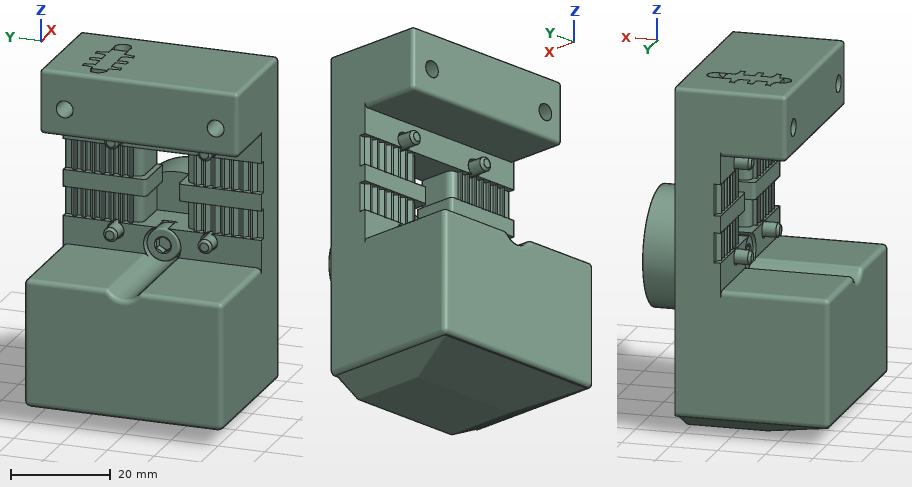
import cadquery as cq
import math

width = 42.4
half_width = width / 2
total_height = 72.45
base_z = 3.5
lower_top_z = 30.6
upper_bottom_z = 58.8
lower_depth = 32.25
upper_depth = 23.25
web_depth = 9.6
lower_fillet = 1.05
upper_fillet = 0.85
web_overlap = 4.0

chin_fillet = 0.8
chin_front_inset = 0.6
chin_side_inset = 1.0
chin_flat_depth = 17.3
chin_flat_y_min = -12.6
chin_flat_y_max = 13.9

window_top_z = 53.0
window_bottom_z = 36.55
window_half_width = 4.7
window_fillet = 1.5
divider_top_z = 46.4
divider_bottom_z = 42.8
divider_half_gap = 3.47
divider_fillet = 0.75
tooth_pitch = 2.0
tooth_count = 7
tooth_start_y = 19.9
tooth_ramp = 0.8
tooth_land = 0.45
tooth_tip_depth = 9.1
tooth_root_depth = 8.2

clamp_screw_diameter = 3.0
clamp_hole_diameter = 3.6
clamp_screw_tip_diameter = 1.89
clamp_screw_tip_chamfer = (clamp_screw_diameter - clamp_screw_tip_diameter) / 2
clamp_low_z = 34.85
clamp_high_z = 54.65
clamp_hole_half_spacing = 10.0
clamp_screw_places = (
    (9.78, clamp_high_z),
    (10.0, clamp_low_z),
    (-10.2, clamp_high_z),
    (-10.2, clamp_low_z),
)
clamp_protrusion = 3.35
clamp_hole_depth = 6.0

mount_hole_diameter = 3.6
mount_hole_z = 64.6
mount_hole_ys = (15.85, -16.45)

knob_diameter = 25.0
overall_depth = 41.55
knob_length = overall_depth - lower_depth
axis_z = 32.75
head_diameter = 7.0
head_height = 4.0
head_fillet = 0.4
head_recess_diameter = 8.0
head_recess_depth = 4.4
shank_diameter = 4.0
shank_reach = 6.0
socket_across_flats = 3.0
socket_depth = 2.0
socket_rim_diameter = 3.6
socket_rim_depth = 0.3

channel_diameter = 3.4
channel_radius = 7.05
channel_x = -12.3
channel_y = 10.0
insert_thickness = 2.0
insert_x_min = -19.1
insert_x_max = -7.2
fin_x = -13.6
fin_spacing = 3.77
fin_reach = 4.0
fin_flare = 3.1
outer_fin_tip = 1.0
outer_fin_root = 1.75
middle_fin_width = 1.3
middle_fin_fillet = 0.4


def block(x_min, x_max, y_min, y_max, z_min, z_max):
    """Box given by its limits."""
    size = (x_max - x_min, y_max - y_min, z_max - z_min)
    return cq.Workplane("XY").box(*size, centered=False).translate((x_min, y_min, z_min))


def rod(diameter, x_min, x_max, y, z):
    """Cylinder along X."""
    plane = cq.Workplane("YZ", origin=(x_min, y, z))
    return plane.circle(diameter / 2).extrude(x_max - x_min)


def make_lower_block():
    """Lower block with the screwdriver groove along its top; all but the back edges are rounded."""
    lower = block(-lower_depth, 0, -half_width, half_width, base_z, lower_top_z)
    groove = rod(head_recess_diameter, -lower_depth, 0, 0, axis_z)
    return lower.cut(groove).edges("not >X").fillet(lower_fillet)


def make_upper_block():
    upper = block(-upper_depth, 0, -half_width, half_width, upper_bottom_z, total_height)
    return upper.edges("not >X").fillet(upper_fillet)


def make_chin():
    """Sloped foot under the lower block, vertical at the back, with rounded edges."""
    root_half_width = half_width - chin_side_inset
    root_length = lower_depth - chin_front_inset
    flat_width = chin_flat_y_max - chin_flat_y_min
    flat_center_y = (chin_flat_y_max + chin_flat_y_min) / 2
    chin = (
        cq.Workplane("XY", origin=(0, 0, base_z))
        .moveTo(-root_length / 2, 0)
        .rect(root_length, 2 * root_half_width)
        .workplane(offset=-base_z)
        .moveTo(-chin_flat_depth / 2, flat_center_y)
        .rect(chin_flat_depth, flat_width)
        .loft(ruled=True)
    )
    return chin.edges("not >Z").fillet(chin_fillet)


def make_window_cut(z_min, z_max):
    """Opening between two levels, its side lands stepped back into ramped belt teeth."""
    front_x = -2 * web_depth
    opening = block(front_x, 0, -window_half_width, window_half_width, z_min, z_max)
    for side in (1, -1):
        points = [(front_x, side * width), (-tooth_root_depth, side * width)]
        for index in range(tooth_count):
            foot = tooth_start_y - index * tooth_pitch
            points.append((-tooth_root_depth, side * foot))
            points.append((-tooth_tip_depth, side * (foot - tooth_ramp)))
            land_end = side * (foot - tooth_ramp - tooth_land)
            points.append((-tooth_tip_depth, land_end))
            points.append((-tooth_root_depth, land_end))
        round_end_x = window_fillet - tooth_root_depth
        points.append((-tooth_root_depth, side * (window_half_width + window_fillet)))
        arc_offset = window_fillet * (1 - math.sqrt(0.5))
        outline = (
            cq.Workplane("XY", origin=(0, 0, z_min))
            .polyline(points)
            .threePointArc(
                (arc_offset - tooth_root_depth, side * (window_half_width + arc_offset)),
                (round_end_x, side * window_half_width),
            )
            .lineTo(round_end_x, 0)
            .lineTo(front_x, 0)
            .close()
        )
        opening = opening.union(outline.extrude(z_max - z_min))
    return opening


def make_divider_gap():
    """Gap between the two divider tabs, widened by their rounded front edges."""
    gap = block(-web_depth, 0, -divider_half_gap, divider_half_gap, divider_bottom_z, divider_top_z)
    for side in (1, -1):
        arc_offset = divider_fillet * (1 - math.sqrt(0.5))
        corner = (
            cq.Workplane("XY", origin=(0, 0, divider_bottom_z))
            .moveTo(-web_depth, side * (divider_half_gap + divider_fillet))
            .threePointArc(
                (arc_offset - web_depth, side * (divider_half_gap + arc_offset)),
                (divider_fillet - web_depth, side * divider_half_gap),
            )
            .lineTo(-web_depth, side * divider_half_gap)
            .close()
            .extrude(divider_top_z - divider_bottom_z)
        )
        gap = gap.union(corner)
    return gap


def make_channel():
    """Round channel curving down from the top face and back up, open in a trough beside the insert."""
    ring = cq.Solid.makeTorus(
        channel_radius,
        channel_diameter / 2,
        cq.Vector(channel_x, channel_y, total_height),
        cq.Vector(0, 1, 0),
    )
    trough = rod(channel_diameter, insert_x_max, channel_x + channel_radius, channel_y, total_height)
    return trough.union(cq.Workplane(obj=ring))


def insert_plane():
    """Work plane at the underside of the insert, centred on its bar in Y."""
    return cq.Workplane("XY", origin=(0, channel_y, total_height - insert_thickness))


def make_fin(center_x, tip_width, root_width):
    """Fin running both ways out of the insert's bar, straight at its ends and flared at its root."""
    root_reach = channel_diameter / 2
    upper_right = [
        (root_width / 2, root_reach),
        (tip_width / 2, fin_flare),
        (tip_width / 2, fin_reach),
    ]
    upper_left = [(-x, y) for x, y in reversed(upper_right)]
    upper_outline = upper_right + upper_left
    lower_outline = [(-x, -y) for x, y in upper_outline]
    points = [(center_x + x, y) for x, y in upper_outline + lower_outline]
    return insert_plane().polyline(points).close().extrude(insert_thickness)


def make_insert():
    """Bar flush with the top face, with three pairs of fins."""
    bar_length = insert_x_max - insert_x_min
    bar = insert_plane().moveTo((insert_x_min + insert_x_max) / 2, 0)
    body = bar.rect(bar_length, channel_diameter).extrude(insert_thickness)
    for side in (-1, 1):
        body = body.union(make_fin(fin_x + side * fin_spacing, outer_fin_tip, outer_fin_root))
    middle = insert_plane().moveTo(fin_x, 0).rect(middle_fin_width, 2 * fin_reach)
    middle = middle.extrude(insert_thickness)
    return body.union(middle.edges("|Z").fillet(middle_fin_fillet))


def make_clamp_screw(y, z):
    """Headless screw standing out of the web, with a chamfered tip."""
    tip_x = -web_depth - clamp_protrusion
    screw = rod(clamp_screw_diameter, tip_x, clamp_hole_depth - web_depth, y, z)
    return screw.faces("<X").chamfer(clamp_screw_tip_chamfer)


def make_cap_screw():
    """Cap screw whose head sits in the recess of the web, shank reaching into the knob."""
    seat_x = head_recess_depth - web_depth
    head = rod(head_diameter, seat_x - head_height, seat_x, 0, axis_z)
    head = head.faces("<X").edges().fillet(head_fillet)
    socket = (
        cq.Workplane("YZ", origin=(seat_x - head_height, 0, axis_z))
        .polygon(6, socket_across_flats / math.cos(math.pi / 6))
        .extrude(socket_depth)
        .rotate((0, 0, axis_z), (1, 0, axis_z), 90)
    )
    shank = rod(shank_diameter, seat_x, shank_reach, 0, axis_z)
    rim = (
        cq.Workplane("YZ", origin=(seat_x - head_height, 0, axis_z))
        .circle(socket_rim_diameter / 2)
        .extrude(socket_rim_depth, taper=45)
    )
    return head.union(shank).cut(socket).cut(rim)


def make_knob():
    knob = rod(knob_diameter, 0, knob_length, 0, axis_z)
    return knob.cut(rod(shank_diameter, 0, shank_reach, 0, axis_z))


def make_housing(insert):
    """Blocks, web and chin joined, then cut for the window, screws, channel and insert."""
    web = block(
        -web_depth, 0, -half_width, half_width, lower_top_z - web_overlap, upper_bottom_z + web_overlap
    )
    housing = make_lower_block().union(make_upper_block()).union(web).union(make_chin())

    housing = housing.cut(make_window_cut(window_bottom_z, divider_bottom_z))
    housing = housing.cut(make_window_cut(divider_top_z, window_top_z))
    housing = housing.cut(make_divider_gap())

    for side in (1, -1):
        for z in (clamp_low_z, clamp_high_z):
            y = side * clamp_hole_half_spacing
            hole = rod(clamp_hole_diameter, -web_depth, clamp_hole_depth - web_depth, y, z)
            housing = housing.cut(hole)

    for y in mount_hole_ys:
        housing = housing.cut(rod(mount_hole_diameter, -upper_depth, 0, y, mount_hole_z))

    housing = housing.cut(rod(head_recess_diameter, -web_depth, head_recess_depth - web_depth, 0, axis_z))
    housing = housing.cut(rod(shank_diameter, -web_depth, 0, 0, axis_z))
    return housing.cut(make_channel()).cut(insert)


insert = make_insert()
housing = make_housing(insert)
clamp_screws = [make_clamp_screw(y, z) for y, z in clamp_screw_places]
cap_screw = make_cap_screw()
knob = make_knob()

bodies = [housing, insert, cap_screw, knob, *clamp_screws]
result = cq.Compound.makeCompound([body.val() for body in bodies])